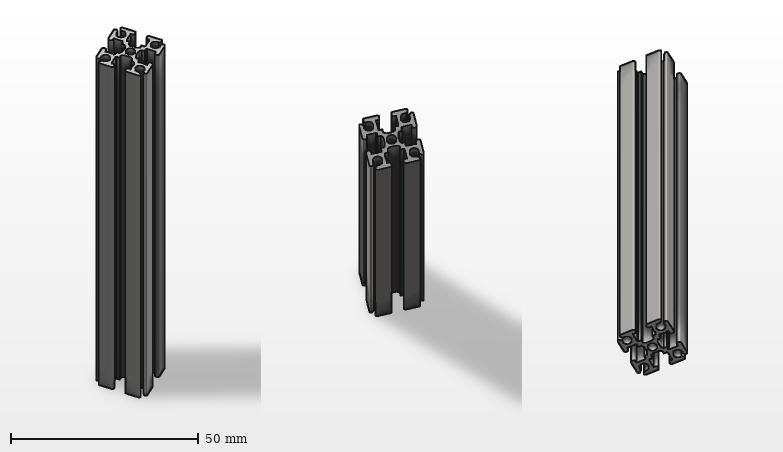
import cadquery as cq
import math

side = 15.0
length = 120.0

slot_opening = 3.4
lip_thickness = 1.3
lip_edge_radius = 0.54
chamber_width = 5.5
step_level = 3.4
step_chamfer = 0.2
trench_width = slot_opening
taper_level = 2.5
core_width = 4.0
floor_blend_radius = 1.5

bore_diameter = 2.5
corner_channel_offset = 5.0
corner_slit_width = 1.0
slit_edge_radius = 0.5

half_side = side / 2
slot_half_opening = slot_opening / 2
chamber_half_width = chamber_width / 2
trench_half_width = trench_width / 2
floor_level = core_width / 2


def tee_profile():
    """T-shaped slot on the +Y side: mouth with rounded lips, chamber, trench and blended floor."""
    lip_inner_level = half_side - lip_thickness
    lip_flat_end = slot_half_opening + lip_edge_radius
    arc_offset = lip_edge_radius * (1 - math.sqrt(0.5))

    floor_half_width = trench_half_width - (taper_level - floor_level)
    half_bend = math.radians(45 / 2)
    tangent_length = floor_blend_radius * math.tan(half_bend)
    blend_start_x = floor_half_width - tangent_length
    blend_mid_x = blend_start_x + floor_blend_radius * math.sin(half_bend)
    blend_mid_y = floor_level + floor_blend_radius * (1 - math.cos(half_bend))
    blend_end_x = floor_half_width + tangent_length * math.sqrt(0.5)
    blend_end_y = floor_level + tangent_length * math.sqrt(0.5)

    half_tee = (
        cq.Workplane("XY")
        .moveTo(0, half_side)
        .lineTo(lip_flat_end, half_side)
        .threePointArc(
            (slot_half_opening + arc_offset, half_side - arc_offset),
            (slot_half_opening, half_side - lip_edge_radius),
        )
        .lineTo(slot_half_opening, lip_inner_level + lip_edge_radius)
        .threePointArc(
            (slot_half_opening + arc_offset, lip_inner_level + arc_offset),
            (lip_flat_end, lip_inner_level),
        )
        .lineTo(chamber_half_width, lip_inner_level)
        .lineTo(chamber_half_width, step_level + step_chamfer)
        .lineTo(chamber_half_width - step_chamfer, step_level)
        .lineTo(trench_half_width, step_level)
        .lineTo(trench_half_width, taper_level)
        .lineTo(blend_end_x, blend_end_y)
        .threePointArc((blend_mid_x, blend_mid_y), (blend_start_x, floor_level))
        .lineTo(0, floor_level)
    )
    return half_tee.mirrorY()


def corner_channel():
    """Round channel on the +X+Y diagonal with a slit out through the corner."""
    channel = (
        cq.Workplane("XY")
        .center(corner_channel_offset, corner_channel_offset)
        .circle(bore_diameter / 2)
        .extrude(length)
    )
    slit_start = corner_channel_offset * math.sqrt(2)
    slit = (
        cq.Workplane("XY")
        .center((slit_start + side) / 2, 0)
        .rect(side - slit_start, corner_slit_width)
        .extrude(length)
        .rotate((0, 0, 0), (0, 0, 1), 45)
    )
    return channel.union(slit)


def cut_around(body, cutter):
    """Cut the same shape on all four sides of the bar."""
    for quarter_turn in range(4):
        body = body.cut(cutter.rotate((0, 0, 0), (0, 0, 1), 90 * quarter_turn))
    return body


bar = cq.Workplane("XY").rect(side, side).circle(bore_diameter / 2).extrude(length)

bar = cut_around(bar, corner_channel())
bar = bar.faces("<X or >X or <Y or >Y").edges("|Z").fillet(slit_edge_radius)

result = cut_around(bar, tee_profile().extrude(length))